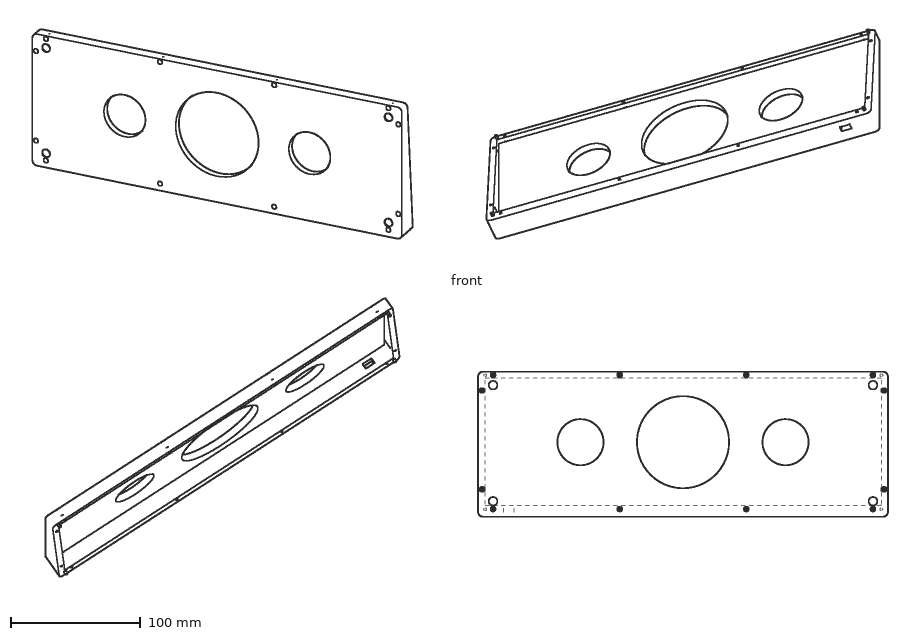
import cadquery as cq
import math

length = 315.8
height = 111.8
bottom_depth = 19.5
back_slope = math.tan(math.radians(5.0))
corner_radius = 4.0
plate_thickness = 6.0

side_wall = 5.5
top_wall = 4.7
bottom_wall = 8.8
cavity_corner_radius = 1.0

opening_z = 1.5
main_opening_diameter = 70.7
side_opening_diameter = 35.5
side_opening_x = length / 4

top_row_z = 53.5
bottom_row_z = -50.0
row_end_x = 146.2
row_count = 4
row_pitch = 2 * row_end_x / (row_count - 1)
side_screw_x = 154.7
side_screw_heights = (41.5, -34.7)
screw_head_diameter = 3.8
screw_diameter = 1.6
screw_seat_thickness = 4.0

pocket_diameter = 6.5
pocket_depth = 1.0
pocket_heights = (45.5, -44.0)

pin_diameter = 2.1
pin_length = 2.43
pin_x = 152.5

slot_width = 8.2
slot_height = 4.5
slot_x = -134.2
slot_y = 11.7


def back_y(z):
    """Y of the sloping back at height z."""
    return bottom_depth - (z + height / 2) * back_slope


def cylinder(diameter, x, z, start, end):
    """Round bar along Y from start to end."""
    plane = cq.Workplane("XZ", origin=(x, start, z))
    return plane.circle(diameter / 2).extrude(start - end)


def rounded_box(width, tall, radius, z, start, end):
    """Box centred on X = 0 and Z = z, from Y = start to end, with its Y edges rounded."""
    plane = cq.Workplane("XZ", origin=(0, start, z))
    return plane.rect(width, tall).extrude(start - end).edges("|Y").fillet(radius)


def make_shell():
    block = rounded_box(length, height, corner_radius, 0, 0, bottom_depth)
    cavity = rounded_box(
        length - 2 * side_wall,
        height - top_wall - bottom_wall,
        cavity_corner_radius,
        (bottom_wall - top_wall) / 2,
        plate_thickness,
        bottom_depth,
    )
    profile = [
        (0, -height / 2),
        (back_y(-height / 2), -height / 2),
        (back_y(height / 2), height / 2),
        (0, height / 2),
    ]
    wedge = cq.Workplane("YZ").polyline(profile).close().extrude(length / 2, both=True)
    return block.cut(cavity).intersect(wedge)


def cut_openings(body):
    body = body.cut(cylinder(main_opening_diameter, 0, opening_z, 0, bottom_depth))
    for x in (-side_opening_x, side_opening_x):
        body = body.cut(cylinder(side_opening_diameter, x, opening_z, 0, bottom_depth))
    return body


def screw_places():
    rows = [
        (-row_end_x + i * row_pitch, z)
        for z in (top_row_z, bottom_row_z)
        for i in range(row_count)
    ]
    sides = [(x, z) for x in (-side_screw_x, side_screw_x) for z in side_screw_heights]
    return rows + sides


def cut_screw_holes(body):
    for x, z in screw_places():
        body = body.cut(cylinder(screw_head_diameter, x, z, 0, back_y(z) - screw_seat_thickness))
        body = body.cut(cylinder(screw_diameter, x, z, 0, bottom_depth))
    return body


def cut_pockets(body):
    for x in (-row_end_x, row_end_x):
        for z in pocket_heights:
            body = body.cut(cylinder(pocket_diameter, x, z, 0, pocket_depth))
    return body


def add_pins(body):
    for x in (-pin_x, pin_x):
        for z in (top_row_z, bottom_row_z):
            body = body.union(cylinder(pin_diameter, x, z, plate_thickness, back_y(z) + pin_length))
    return body


def cut_cable_slot(body):
    slot = (
        cq.Workplane("XY", origin=(slot_x, slot_y, -height / 2))
        .rect(slot_width, slot_height)
        .extrude(bottom_wall)
    )
    return body.cut(slot)


result = make_shell()
result = cut_openings(result)
result = cut_screw_holes(result)
result = cut_pockets(result)
result = add_pins(result)
result = cut_cable_slot(result)